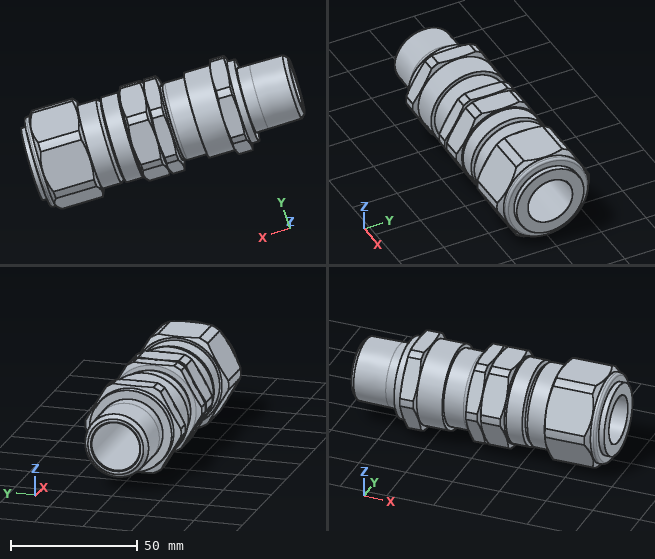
import cadquery as cq
import math

LENGTH = 109.5

TIP_RADIUS = 13.1
TIP_CHAMFER = 1.6
THREAD_RADIUS = 13.4
TAPER_END = 15.3

WASHER_START = 20.5
WASHER_RADIUS = 17.0
BODY_START = 30.4
BODY_END = 41.3
BODY_RADIUS = 17.6
NECK_END = 50.9
NECK_RADIUS = 16.0
NECK_FILLET = 1.3
NECK_VALLEY_RADIUS = NECK_RADIUS - NECK_FILLET

COLLAR_END = 68.7
COLLAR_RADIUS = 17.8
BARREL_END = 75.6
BARREL_RADIUS = BODY_RADIUS
GROOVE_BOTTOM = 76.2
GROOVE_RADIUS = 16.0
SLEEVE_START = 77.6
SLEEVE_RADIUS = 17.3

FLANGE_END = 107.2
FLANGE_RADIUS = 18.6
FLANGE_FILLET = 1.0
BUSH_RADIUS = 15.0

BORE_RADIUS = 10.0
BORE_CHAMFER = 0.3

NUT_FLATS = 35.9
NUT_CORNER_RADIUS = 19.8
CAP_FLATS = 37.6
CAP_CORNER_RADIUS = 20.64

ENTRY_NUT = (23.4, BODY_START)
ENTRY_BEVEL = 0.7
LOCK_NUT = (51.7, 57.8)
LOCK_BEVEL = 0.7
MIDDLE_NUT = (LOCK_NUT[1], 68.0)
MIDDLE_BEVEL = 1.0
NUT_FACE_RADIUS = BODY_RADIUS
CAP_NUT = (85.3, 105.1)
CAP_FRONT_BEVEL = 1.2
CAP_FRONT_FACE_RADIUS = 18.3
CAP_REAR_BEVEL = 1.8


def turned(profile):
    """Revolve a closed (x, radius) outline about the X axis."""
    return profile.close().revolve(360, (0, 0, 0), (1, 0, 0))


def cylinder(start, end, radius):
    return cq.Workplane("YZ", origin=(start, 0, 0)).circle(radius).extrude(end - start)


def hex_nut(span, flats, corner_radius, front_bevel, front_radius, rear_bevel, rear_radius):
    """Hexagon with flats facing +Z and -Z, trimmed by a cylinder with coned ends."""
    start, end = span
    across_corners = flats / math.cos(math.pi / 6)
    prism = cq.Workplane("YZ", origin=(start, 0, 0)).polygon(6, across_corners).extrude(end - start)
    envelope = turned(
        cq.Workplane("XY")
        .moveTo(start, 0)
        .lineTo(start, front_radius)
        .lineTo(start + front_bevel, corner_radius)
        .lineTo(end - rear_bevel, corner_radius)
        .lineTo(end, rear_radius)
        .lineTo(end, 0)
    )
    return prism.intersect(envelope)


def standard_nut(span, bevel, front_radius, rear_radius):
    return hex_nut(span, NUT_FLATS, NUT_CORNER_RADIUS, bevel, front_radius, bevel, rear_radius)


def turned_body():
    """All round outer surfaces from the spigot tip to the cap nut."""
    cap_seat = CAP_NUT[0] + CAP_FRONT_BEVEL
    lock_face = LOCK_NUT[0]
    valley_rise = lock_face - NECK_END
    fillet_mid = NECK_FILLET * math.sqrt(0.5)
    return turned(
        cq.Workplane("XY")
        .moveTo(0, 0)
        .lineTo(0, TIP_RADIUS - TIP_CHAMFER)
        .lineTo(TIP_CHAMFER, TIP_RADIUS)
        .lineTo(TAPER_END, THREAD_RADIUS)
        .lineTo(WASHER_START, THREAD_RADIUS)
        .lineTo(WASHER_START, WASHER_RADIUS)
        .lineTo(BODY_START, WASHER_RADIUS)
        .lineTo(BODY_START, BODY_RADIUS)
        .lineTo(BODY_END, BODY_RADIUS)
        .lineTo(BODY_END, NECK_RADIUS)
        .lineTo(NECK_END - NECK_FILLET, NECK_RADIUS)
        .threePointArc(
            (NECK_END - NECK_FILLET + fillet_mid, NECK_VALLEY_RADIUS + fillet_mid),
            (NECK_END, NECK_VALLEY_RADIUS),
        )
        .lineTo(lock_face, NECK_VALLEY_RADIUS + valley_rise)
        .lineTo(MIDDLE_NUT[1], NECK_VALLEY_RADIUS + valley_rise)
        .lineTo(MIDDLE_NUT[1], COLLAR_RADIUS)
        .lineTo(COLLAR_END, BARREL_RADIUS)
        .lineTo(BARREL_END, BARREL_RADIUS)
        .lineTo(GROOVE_BOTTOM, GROOVE_RADIUS)
        .lineTo(SLEEVE_START, SLEEVE_RADIUS)
        .lineTo(cap_seat, SLEEVE_RADIUS)
        .lineTo(cap_seat, 0)
    )


def rear_flange():
    """Round flange behind the cap nut, with its outer rear edge rounded."""
    return cylinder(CAP_NUT[1], FLANGE_END, FLANGE_RADIUS).faces(">X").edges().fillet(FLANGE_FILLET)


def bore():
    """Through passage, flared at the entry end."""
    return turned(
        cq.Workplane("XY")
        .moveTo(0, 0)
        .lineTo(0, BORE_RADIUS + BORE_CHAMFER)
        .lineTo(BORE_CHAMFER, BORE_RADIUS)
        .lineTo(LENGTH, BORE_RADIUS)
        .lineTo(LENGTH, 0)
    )


entry_nut = standard_nut(ENTRY_NUT, ENTRY_BEVEL, WASHER_RADIUS, BODY_RADIUS)
lock_nut = standard_nut(LOCK_NUT, LOCK_BEVEL, NUT_FACE_RADIUS, NUT_FACE_RADIUS)
middle_nut = standard_nut(MIDDLE_NUT, MIDDLE_BEVEL, NUT_FACE_RADIUS, COLLAR_RADIUS)
cap_nut = hex_nut(
    CAP_NUT,
    CAP_FLATS,
    CAP_CORNER_RADIUS,
    CAP_FRONT_BEVEL,
    CAP_FRONT_FACE_RADIUS,
    CAP_REAR_BEVEL,
    FLANGE_RADIUS,
)
bush = cylinder(FLANGE_END, LENGTH, BUSH_RADIUS)

result = turned_body()
for piece in (entry_nut, lock_nut, middle_nut, cap_nut, rear_flange(), bush):
    result = result.union(piece)

result = result.cut(bore())